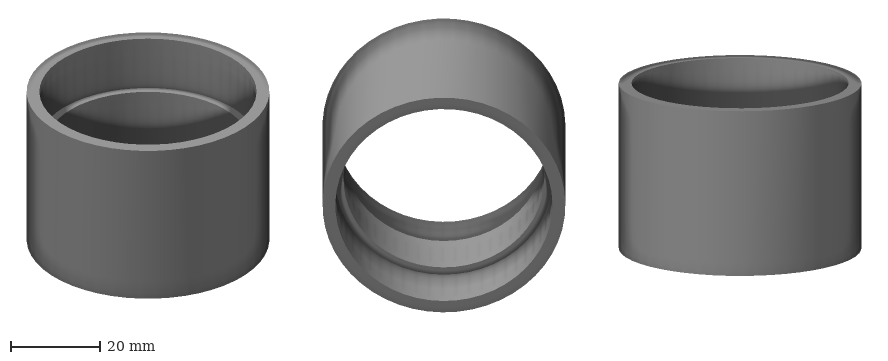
import cadquery as cq

outer_diameter = 54.5
height = 38.0

socket_diameter = 48.7
collar_diameter = 45.05
socket_depth = height / 3


def socket(base_height):
    """Cylindrical cutter for one socket, starting at the given height."""
    return (
        cq.Workplane("XY")
        .workplane(offset=base_height)
        .circle(socket_diameter / 2)
        .extrude(socket_depth)
    )


sleeve = (
    cq.Workplane("XY")
    .circle(outer_diameter / 2)
    .circle(collar_diameter / 2)
    .extrude(height)
)

for base_height in (0, height - socket_depth):
    sleeve = sleeve.cut(socket(base_height))

result = sleeve